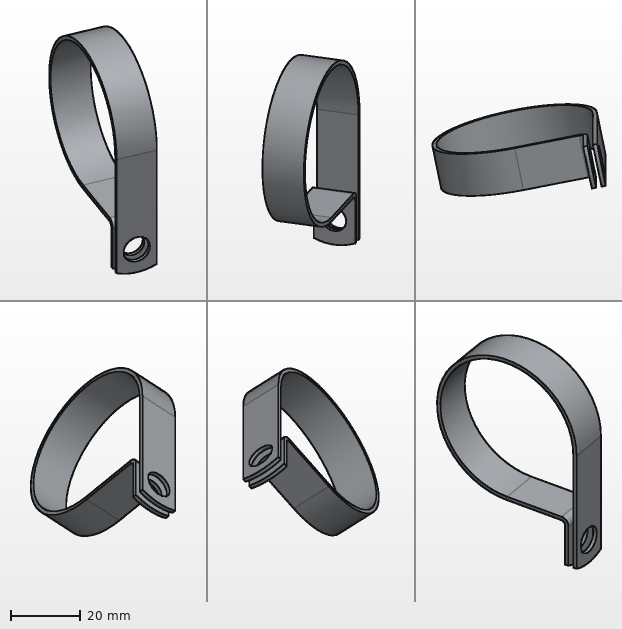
import cadquery as cq
import math

width = 12.7
thickness = 1.2
loop_radius = 24.25
overall_height = 64.65
leg_gap = 1.6
bend_inner_radius = 1.2
short_leg_hole_diameter = 7.2
long_leg_hole_diameter = 8.3
hole_height = 7.9
tip_rise = 1.3

half_width = width / 2
inner_radius = loop_radius - thickness
tip_z = loop_radius - overall_height
short_leg_outer_x = inner_radius - leg_gap
bend_outer_radius = bend_inner_radius + thickness
bend_x = short_leg_outer_x - bend_outer_radius
bend_z = -inner_radius - bend_outer_radius


def loop_midpoint(radius):
    """Middle of the three-quarter loop, at 45 degrees up and to -X."""
    offset = radius * math.sqrt(0.5)
    return (-offset, offset)


def make_strip():
    """Bent strip: long leg, three-quarter loop, flat bottom, bend and short leg."""
    return (
        cq.Workplane("XZ")
        .moveTo(loop_radius, tip_z)
        .lineTo(loop_radius, 0)
        .threePointArc(loop_midpoint(loop_radius), (0, -loop_radius))
        .lineTo(bend_x, -loop_radius)
        .radiusArc((bend_x + bend_inner_radius, bend_z), bend_inner_radius)
        .lineTo(short_leg_outer_x - thickness, tip_z)
        .lineTo(short_leg_outer_x, tip_z)
        .lineTo(short_leg_outer_x, bend_z)
        .radiusArc((bend_x, -inner_radius), -bend_outer_radius)
        .lineTo(0, -inner_radius)
        .threePointArc(loop_midpoint(inner_radius), (inner_radius, 0))
        .lineTo(inner_radius, tip_z)
        .close()
        .extrude(width)
        .translate((0, half_width, 0))
    )


def make_side_envelope():
    """Side outline that gives both legs their rounded tips; clears the loop elsewhere."""
    corner_z = tip_z + tip_rise
    return (
        cq.Workplane("YZ")
        .moveTo(-half_width, overall_height)
        .lineTo(-half_width, corner_z)
        .threePointArc((0, tip_z), (half_width, corner_z))
        .lineTo(half_width, overall_height)
        .close()
        .extrude(overall_height, both=True)
    )


def make_bolt_hole(diameter, start_x):
    """Cylinder along +X from start_x, centred across the strip."""
    return (
        cq.Workplane("YZ", origin=(start_x, 0, tip_z + hole_height))
        .circle(diameter / 2)
        .extrude(overall_height)
    )


result = (
    make_strip()
    .intersect(make_side_envelope())
    .cut(make_bolt_hole(short_leg_hole_diameter, 0))
    .cut(make_bolt_hole(long_leg_hole_diameter, short_leg_outer_x + leg_gap / 2))
)